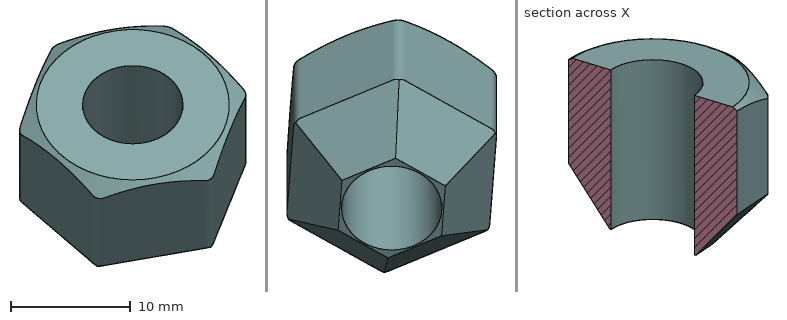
import cadquery as cq
import math

across_flats = 17.0
height = 15.0
taper_height = 5.0
tip_across_corners = 10.0
corner_radius = 1.0
bore_diameter = 8.38
top_face_diameter = 16.13
chamfer_angle = 33.0

across_corners = across_flats / math.cos(math.radians(30))


def hexagonal_body():
    """Hexagonal prism with two corners on the X axis and rounded vertical edges."""
    prism = cq.Workplane("XY").polygon(6, across_corners).extrude(height)
    return prism.edges("|Z").fillet(corner_radius)


def tapered_envelope():
    """Hexagonal pyramid frustum at the bottom, continued upward as a sharp prism."""
    frustum = (
        cq.Workplane("XY")
        .polygon(6, tip_across_corners)
        .workplane(offset=taper_height)
        .polygon(6, across_corners)
        .loft(ruled=True)
    )
    return frustum.faces(">Z").workplane().polygon(6, across_corners).extrude(height - taper_height)


def conical_envelope():
    """Turned blank whose conical top edge chamfers the hexagon corners."""
    top_radius = top_face_diameter / 2
    blank_radius = across_corners / 2
    chamfer_drop = (blank_radius - top_radius) * math.tan(math.radians(chamfer_angle))
    return (
        cq.Workplane("XZ")
        .lineTo(blank_radius, 0)
        .lineTo(blank_radius, height - chamfer_drop)
        .lineTo(top_radius, height)
        .lineTo(0, height)
        .close()
        .revolve(360, (0, 0, 0), (0, 1, 0))
    )


def through_bore():
    return cq.Workplane("XY").circle(bore_diameter / 2).extrude(height)


result = hexagonal_body().intersect(tapered_envelope()).intersect(conical_envelope()).cut(through_bore())